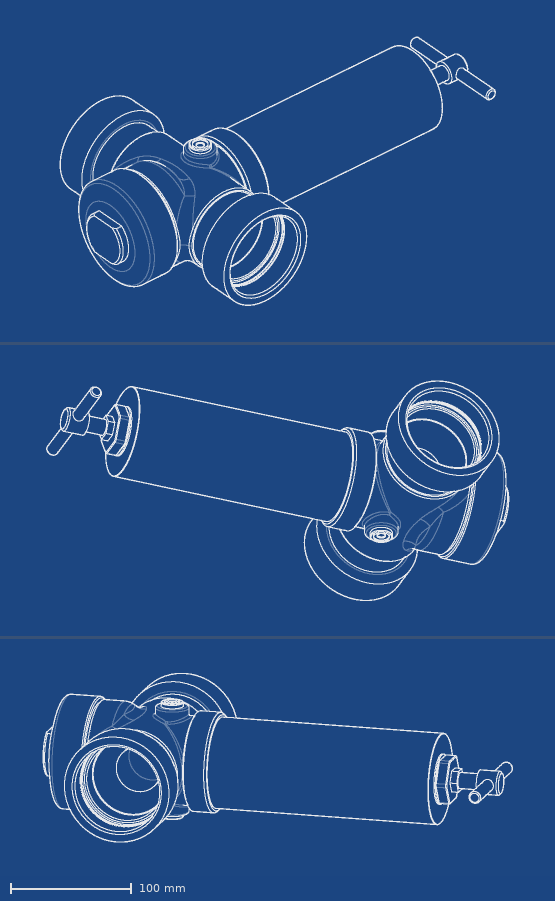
import cadquery as cq
import math


TOTAL_WIDTH = 210.0
TOTAL_LENGTH = 388.0
TOTAL_HEIGHT = 99.0

WASHER_THICKNESS = 1.0
HEX_HEIGHT = 9.7
SMALL_HEX_HEIGHT = 6.0
HEAD_LENGTH = 18.5

NUB_END = -87.0
CAP_FACE = -79.0
CAP_RIM = -74.0
CAP_SEAT = -45.8
BOSS_END = -43.0
NECK_TOP = 38.0
COLLAR_TOP = 59.0
TUBE_TOP = 249.0
HEX_BASE = TUBE_TOP + WASHER_THICKNESS
HEX_TOP = HEX_BASE + HEX_HEIGHT
SMALL_HEX_TOP = HEX_TOP + SMALL_HEX_HEIGHT
HEAD_TOP = NUB_END + TOTAL_LENGTH
HEAD_BASE = HEAD_TOP - HEAD_LENGTH

SLACK = 0.2

PIPE_RADIUS = 37.5
PIPE_HALF_LENGTH = 54.0
PIPE_CHAMFER = 1.5
NOZZLE_RADIUS = 35.0
NOZZLE_END = 79.5
BORE_RADIUS = 33.0
CONE_RADIUS = 32.2
THROAT_RADIUS = 19.0
CONE_START = 62.5
CONE_END = 38.8
NECK_RADIUS = 37.2
NECK_BLEND = 2.0
BOSS_RADIUS = 45.5
BOSS_CORNER = -21.5
BOSS_ROUND = 8.5
BOSS_BLEND = 10.5
GROOVE_RADIUS = 43.0
BLEND_OVERLENGTH = 31.0

GAUGE_Y = 18.2
GAUGE_BOSS_RADIUS = 14.0
GAUGE_BOSS_TOP = 45.8
GAUGE_BOSS_ROUND = 1.5
GAUGE_BOSS_BLEND = 2.0
PLUG_RADIUS = 9.5
PLUG_TOP = TOTAL_HEIGHT / 2
PLUG_CHAMFER = 0.8
PLUG_RECESS_RADIUS = 6.5
PLUG_RECESS_DEPTH = 1.0
PLUG_HOLE_RADIUS = 3.5
PLUG_HOLE_DEPTH = 2.5

NUT_RADIUS = 45.0
NUT_END = TOTAL_WIDTH / 2
NUT_BACK = 75.0
NUT_BACK_RADIUS = 37.2
NUT_SHOULDER = 77.2
NUT_BORE_RADIUS = 36.5
NUT_ENTRY_CHAMFER = 2.0
NUT_GROOVE_RADIUS = 37.2
NUT_GROOVE_START = 83.5
NUT_GROOVE_END = 85.7

CAP_RADIUS = 47.7
CAP_SEAT_CHAMFER = 1.0
CAP_RIM_ROUND = 3.0
CAP_FACE_RADIUS = 31.5
NUB_RADIUS = 23.3
NUB_ACROSS_FLATS = 36.5
NUB_CHAMFER = 2.0

TUBE_RADIUS = 38.0
TUBE_EDGE = 0.5
COLLAR_RADIUS = 42.0
COLLAR_TOP_CHAMFER = 2.0
COLLAR_BASE_RISE = 1.5
COLLAR_BASE_INSET = 3.0

WASHER_RADIUS = 21.0
HEX_ACROSS_FLATS = 37.0
HEX_ROUND = 3.0
HEX_CHAMFER = 0.8
SMALL_HEX_ACROSS_FLATS = 18.0
STEM_DIAMETER = 13.5
STEM_RADIUS = STEM_DIAMETER / 2
HEAD_RADIUS = 10.0
HEAD_CHAMFER = 1.5
BAR_RADIUS = 5.0
BAR_HALF_LENGTH = 49.5
BAR_CHAMFER = 1.0
BAR_Y = 292.0


def turned_about_y(points):
    """Solid of revolution about Y from (radius, y) points."""
    return cq.Workplane("XY").polyline(points).close().revolve(360, (0, 0), (0, 1))


def turned_about_x(points):
    """Solid of revolution about X from (x, radius) points."""
    return cq.Workplane("XY").polyline(points).close().revolve(360, (0, 0), (1, 0))


def cylinder_y(radius, y_start, y_end):
    return cq.Workplane("XZ", origin=(0, y_start, 0)).circle(radius).extrude(y_start - y_end)


def cylinder_z(radius, z_start, z_end):
    return cq.Workplane("XY", origin=(0, GAUGE_Y, z_start)).circle(radius).extrude(z_end - z_start)


def hexagon_y(across_flats, y_start, y_end):
    across_corners = across_flats / math.cos(math.pi / 6)
    return cq.Workplane("XZ", origin=(0, y_start, 0)).polygon(6, across_corners).extrude(y_start - y_end)


def edges_within(low, high):
    """Selector for the edges that lie wholly inside a box, with a little slack on every side."""
    return cq.selectors.BoxSelector(
        tuple(value - SLACK for value in low), tuple(value + SLACK for value in high), boundingbox=True)


def edges_at_y(y, radius):
    return edges_within((-radius, y, -radius), (radius, y, radius))


def both_sides(solid, plane):
    return [solid, solid.mirror(plane)]


def make_pipe_and_boss():
    """Pipe crossed by the round-nosed cap boss, blended and then trimmed to length."""
    long_half = PIPE_HALF_LENGTH + BLEND_OVERLENGTH
    pipe = cq.Workplane("YZ", origin=(-long_half, 0, 0)).circle(PIPE_RADIUS).extrude(2 * long_half)
    boss = turned_about_y([
        (0, BOSS_END - BLEND_OVERLENGTH),
        (BOSS_RADIUS, BOSS_END - BLEND_OVERLENGTH),
        (BOSS_RADIUS, BOSS_CORNER),
        (0, BOSS_CORNER + BOSS_RADIUS),
    ])
    boss = boss.edges(edges_at_y(BOSS_CORNER, BOSS_RADIUS)).fillet(BOSS_ROUND)
    seam = edges_within((-BOSS_RADIUS, -PIPE_RADIUS, -PIPE_RADIUS), (BOSS_RADIUS, 0, PIPE_RADIUS))
    blended = pipe.union(boss).edges(seam).fillet(BOSS_BLEND)
    envelope = cq.Workplane("XY").box(2 * PIPE_HALF_LENGTH, 4 * BOSS_RADIUS, 4 * BOSS_RADIUS)
    below_groove = cylinder_y(2 * BOSS_RADIUS, BOSS_END, BOSS_END - 2 * BLEND_OVERLENGTH)
    trimmed = blended.intersect(envelope).cut(below_groove)
    return trimmed.faces("<X or >X").edges("not <Y").chamfer(PIPE_CHAMFER)


def add_gauge_boss(body, side):
    """Round boss on the +Z (side 1) or -Z (side -1) flank, rounded on top and blended at its foot."""
    end_face = ">Z" if side > 0 else "<Z"
    gauge_boss = cylinder_z(GAUGE_BOSS_RADIUS, 0, side * GAUGE_BOSS_TOP)
    body = body.union(gauge_boss.faces(end_face).edges().fillet(GAUGE_BOSS_ROUND))
    low, high = sorted((side * GAUGE_BOSS_RADIUS, side * PIPE_RADIUS))
    foot = edges_within((-GAUGE_BOSS_RADIUS, GAUGE_Y - GAUGE_BOSS_RADIUS, low),
                        (GAUGE_BOSS_RADIUS, GAUGE_Y + GAUGE_BOSS_RADIUS, high))
    return body.edges(foot).fillet(GAUGE_BOSS_BLEND)


def make_flow_bore():
    """Straight throat that opens through a cone into a wider bore at each end."""
    half_bore = turned_about_x([
        (0, 0),
        (0, THROAT_RADIUS),
        (CONE_END, THROAT_RADIUS),
        (CONE_START, CONE_RADIUS),
        (CONE_START, BORE_RADIUS),
        (NOZZLE_END, BORE_RADIUS),
        (NOZZLE_END, 0),
    ])
    return half_bore.union(half_bore.mirror("YZ"))


def make_body():
    body = make_pipe_and_boss()
    body = body.union(cylinder_y(GROOVE_RADIUS, CAP_SEAT, BOSS_END))
    body = body.union(cylinder_y(NECK_RADIUS, 0, NECK_TOP))
    neck_seam = edges_within((-PIPE_RADIUS, 2 * SLACK, -PIPE_RADIUS), (PIPE_RADIUS, PIPE_RADIUS, PIPE_RADIUS))
    body = body.edges(neck_seam).fillet(NECK_BLEND)
    for side in (1, -1):
        body = add_gauge_boss(body, side)
    nozzles = cq.Workplane("YZ", origin=(-NOZZLE_END, 0, 0)).circle(NOZZLE_RADIUS).extrude(2 * NOZZLE_END)
    return body.union(nozzles).cut(make_flow_bore())


def make_union_nut():
    return turned_about_x([
        (NUT_BACK, NOZZLE_RADIUS),
        (NUT_BACK, NUT_BACK_RADIUS),
        (NUT_SHOULDER, NUT_RADIUS),
        (NUT_END, NUT_RADIUS),
        (NUT_END, NUT_BORE_RADIUS + NUT_ENTRY_CHAMFER),
        (NUT_END - NUT_ENTRY_CHAMFER, NUT_BORE_RADIUS),
        (NUT_GROOVE_END, NUT_BORE_RADIUS),
        (NUT_GROOVE_END, NUT_GROOVE_RADIUS),
        (NUT_GROOVE_START, NUT_GROOVE_RADIUS),
        (NUT_GROOVE_START, NUT_BORE_RADIUS),
        (NOZZLE_END, NUT_BORE_RADIUS),
        (NOZZLE_END, NOZZLE_RADIUS),
    ])


def make_cap():
    cap = turned_about_y([
        (0, CAP_SEAT),
        (CAP_RADIUS - CAP_SEAT_CHAMFER, CAP_SEAT),
        (CAP_RADIUS, CAP_SEAT - CAP_SEAT_CHAMFER),
        (CAP_RADIUS, CAP_RIM),
        (CAP_FACE_RADIUS, CAP_FACE),
        (0, CAP_FACE),
    ])
    cap = cap.edges(edges_at_y(CAP_RIM, CAP_RADIUS)).fillet(CAP_RIM_ROUND)
    nub = cylinder_y(NUB_RADIUS, CAP_FACE, NUB_END).faces("<Y").chamfer(NUB_CHAMFER)
    flats = cq.Workplane("XY").box(2 * CAP_RADIUS, 2 * abs(NUB_END), NUB_ACROSS_FLATS)
    return cap.union(nub.intersect(flats))


def make_tube():
    return turned_about_y([
        (0, NECK_TOP),
        (COLLAR_RADIUS - COLLAR_BASE_INSET, NECK_TOP),
        (COLLAR_RADIUS, NECK_TOP + COLLAR_BASE_RISE),
        (COLLAR_RADIUS, COLLAR_TOP - COLLAR_TOP_CHAMFER),
        (COLLAR_RADIUS - COLLAR_TOP_CHAMFER, COLLAR_TOP),
        (TUBE_RADIUS, COLLAR_TOP),
        (TUBE_RADIUS, TUBE_TOP - TUBE_EDGE),
        (TUBE_RADIUS - TUBE_EDGE, TUBE_TOP),
        (0, TUBE_TOP),
    ])


def make_gland():
    large_hex = hexagon_y(HEX_ACROSS_FLATS, HEX_BASE, HEX_TOP).edges("|Y").fillet(HEX_ROUND)
    large_hex = large_hex.faces("<Y or >Y").chamfer(HEX_CHAMFER)
    gland = large_hex.union(hexagon_y(SMALL_HEX_ACROSS_FLATS, HEX_TOP, SMALL_HEX_TOP))
    gland = gland.union(cylinder_y(WASHER_RADIUS, TUBE_TOP, HEX_BASE))
    return gland.cut(cylinder_y(STEM_RADIUS, TUBE_TOP, SMALL_HEX_TOP))


def make_handle_bar():
    start = (-BAR_HALF_LENGTH, BAR_Y, 0)
    bar = cq.Workplane("YZ", origin=start).circle(BAR_RADIUS).extrude(2 * BAR_HALF_LENGTH)
    return bar.faces("<X or >X").chamfer(BAR_CHAMFER)


def make_spindle():
    stem = cylinder_y(STEM_RADIUS, TUBE_TOP, HEAD_BASE)
    head = cylinder_y(HEAD_RADIUS, HEAD_BASE, HEAD_TOP).faces(">Y").chamfer(HEAD_CHAMFER)
    return stem.union(head).cut(make_handle_bar())


def make_plug():
    plug = cylinder_z(PLUG_RADIUS, GAUGE_BOSS_TOP, PLUG_TOP).faces(">Z").chamfer(PLUG_CHAMFER)
    plug = plug.cut(cylinder_z(PLUG_RECESS_RADIUS, PLUG_TOP - PLUG_RECESS_DEPTH, PLUG_TOP))
    return plug.cut(cylinder_z(PLUG_HOLE_RADIUS, PLUG_TOP - PLUG_HOLE_DEPTH, PLUG_TOP))


body = make_body()
cap = make_cap()
tube = make_tube()
gland = make_gland()
spindle = make_spindle()
handle_bar = make_handle_bar()
union_nuts = both_sides(make_union_nut().val(), "YZ")
plugs = both_sides(make_plug().val(), "XY")

result = cq.Compound.makeCompound([
    body.val(), cap.val(), tube.val(), gland.val(), spindle.val(), handle_bar.val(), *union_nuts, *plugs,
])